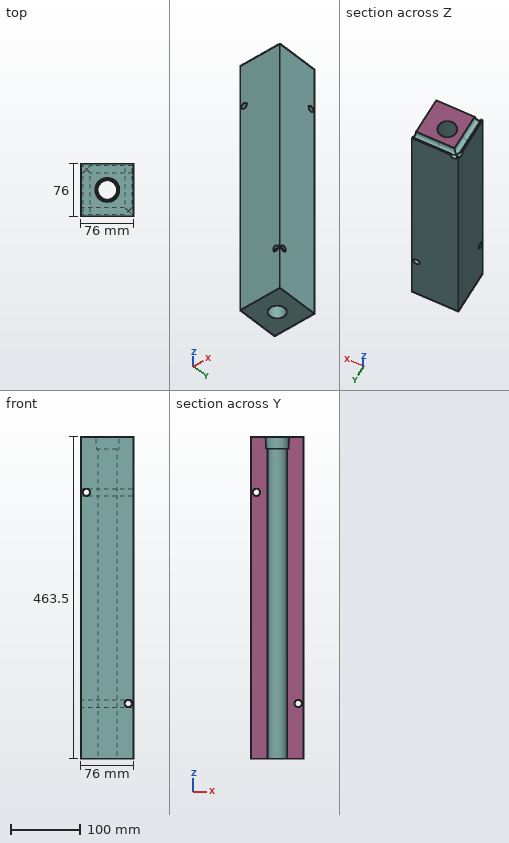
import cadquery as cq

bar_side = 76.0
bar_height = 463.5

bore_diameter = 28.0
socket_top_diameter = 33.5
socket_bottom_diameter = 32.5
socket_depth = 16.5
mouth_chamfer = 0.7

cross_hole_diameter = 10.0
cross_hole_edge_distance = 8.0
cross_hole_end_distance = 79.5

top = bar_height / 2
cross_hole_offset = bar_side / 2 - cross_hole_edge_distance
cross_hole_height = top - cross_hole_end_distance


def make_bore():
    """Solid of revolution for the full-height bore, its socket and the mouth chamfer."""
    bore_radius = bore_diameter / 2
    socket_bottom_radius = socket_bottom_diameter / 2
    socket_top_radius = socket_top_diameter / 2
    half_profile = [
        (0, -top),
        (bore_radius, -top),
        (bore_radius, top - socket_depth),
        (socket_bottom_radius, top - socket_depth),
        (socket_top_radius, top - mouth_chamfer),
        (socket_top_radius + mouth_chamfer, top),
        (0, top),
    ]
    return cq.Workplane("XZ").polyline(half_profile).close().revolve(360, (0, 0, 0), (0, 1, 0))


def make_cross_holes(plane, upper_hole_side):
    """Two through holes near opposite corners of a vertical plane.

    upper_hole_side is +1 or -1: the side of the bar, along the plane's
    horizontal axis, that holds the upper hole. The lower hole is opposite.
    """
    upper = (upper_hole_side * cross_hole_offset, cross_hole_height)
    lower = (-upper_hole_side * cross_hole_offset, -cross_hole_height)
    holes = cq.Workplane(plane).pushPoints([upper, lower]).circle(cross_hole_diameter / 2)
    return holes.extrude(bar_side, both=True)


bar = cq.Workplane("XY").box(bar_side, bar_side, bar_height)

holes_along_y = make_cross_holes("XZ", -1)
holes_along_x = make_cross_holes("YZ", 1)

result = bar.cut(make_bore()).cut(holes_along_y).cut(holes_along_x)